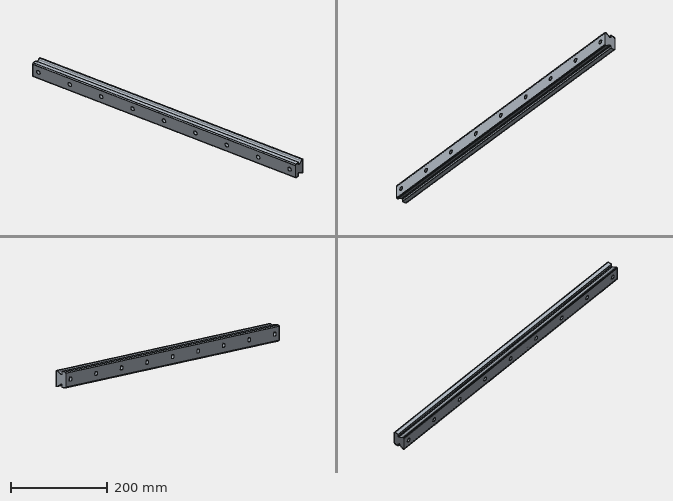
import cadquery as cq

length = 670.0
depth = 27.5
height = 34.0

front_edge_chamfer = 2.35
front_flange_depth = 11.5
groove_bevel_width = 2.0
groove_bevel_rise = 1.0
groove_depth = 7.0
ramp_break_from_back = 6.0
ramp_break_drop = 2.0
ramp_top_from_back = 3.0
back_edge_chamfer = 1.0

hole_diameter = 9.0
hole_count = 9
end_margin = 15.0
hole_pitch = (length - 2 * end_margin) / (hole_count - 1)

front_y = -depth / 2
back_y = depth / 2
top_z = height / 2


def make_rail():
    """Extrude the rail section, which is symmetric about its mid-height."""
    groove_front_y = front_y + front_flange_depth
    groove_z = top_z - groove_depth
    upper_half = [
        (front_y, top_z - front_edge_chamfer),
        (front_y + front_edge_chamfer, top_z),
        (groove_front_y, top_z),
        (groove_front_y, groove_z + groove_bevel_rise),
        (groove_front_y + groove_bevel_width, groove_z),
        (back_y - ramp_break_from_back, top_z - ramp_break_drop),
        (back_y - ramp_top_from_back, top_z),
        (back_y - back_edge_chamfer, top_z),
        (back_y, top_z - back_edge_chamfer),
    ]
    lower_half = [(y, -z) for y, z in reversed(upper_half)]
    section = cq.Workplane("YZ").polyline(upper_half + lower_half).close()
    return section.extrude(length / 2, both=True)


def make_holes():
    """Row of plain through holes along the middle of the front face."""
    row = cq.Workplane("XZ").rarray(hole_pitch, 7, hole_count, 1)
    return row.circle(hole_diameter / 2).extrude(depth, both=True)


result = make_rail().cut(make_holes())